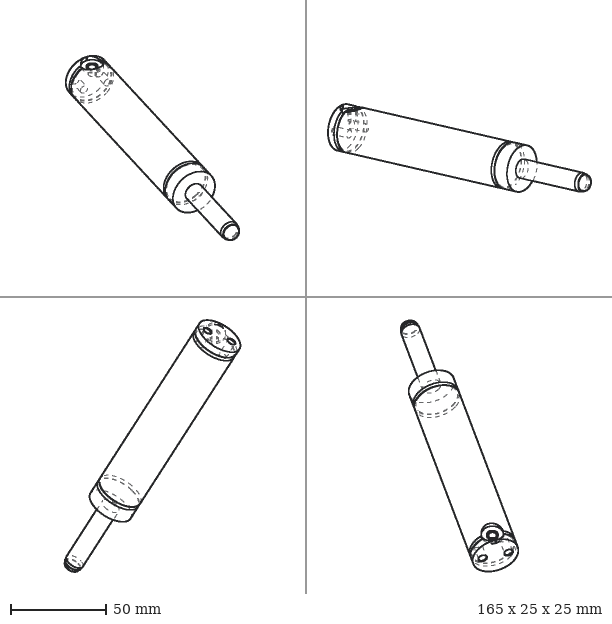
import cadquery as cq
import math

total_length = 165.0
body_radius = 12.5
body_end = 121.0
rod_radius = 5.1

groove_radius = 1.0
rear_groove_x = 5.1
front_groove_x = 111.4

tip_groove_start = 160.7
tip_groove_end = 162.7
tip_groove_floor_radius = 4.3
tip_groove_end_radius = 4.8
tip_radius = 4.3
tip_round = 1.5

port_x = 6.0
port_slit_width = 0.5
port_seat_radius = math.hypot(port_x, port_slit_width / 2)
port_seat_height = 10.0
port_counterbore_radius = 3.0
port_counterbore_depth = 0.5
port_bore_radius = 2.1
port_depth = 5.0

mount_offset = 7.1
mount_radius = 2.1
mount_chamfer = 0.3
mount_depth = 9.9
drill_half_angle = math.radians(59)


def turned_profile():
    """Solid of the body and rod, revolved about X."""
    round_start = total_length - tip_round
    diagonal = tip_round * math.sqrt(0.5)
    tip_groove_middle = (tip_groove_start + tip_groove_end) / 2
    profile = cq.Workplane("XY").lineTo(0, body_radius)
    for groove_x in (rear_groove_x, front_groove_x):
        profile = profile.lineTo(groove_x - groove_radius, body_radius).threePointArc(
            (groove_x, body_radius - groove_radius),
            (groove_x + groove_radius, body_radius),
        )
    return (
        profile.lineTo(body_end, body_radius)
        .lineTo(body_end, rod_radius)
        .lineTo(tip_groove_start, rod_radius)
        .threePointArc(
            (tip_groove_middle, tip_groove_floor_radius),
            (tip_groove_end, tip_groove_end_radius),
        )
        .lineTo(tip_groove_end, tip_radius)
        .lineTo(round_start, tip_radius)
        .threePointArc(
            (round_start + diagonal, tip_radius - tip_round + diagonal),
            (total_length, tip_radius - tip_round),
        )
        .lineTo(total_length, 0)
        .close()
        .revolve(360, (0, 0, 0), (1, 0, 0))
    )


def port_cutter():
    """Flat round seat on top of the body with a counterbored blind hole."""
    seat = cq.Workplane("XY", origin=(port_x, 0, port_seat_height))
    cutter = seat.circle(port_seat_radius).extrude(body_radius)
    counterbore = seat.circle(port_counterbore_radius).extrude(-port_counterbore_depth)
    bore = seat.circle(port_bore_radius).extrude(-port_depth)
    return cutter.union(counterbore).union(bore)


def mounting_hole(y):
    """Blind hole in the rear face with a chamfered mouth and a drill-point bottom."""
    point_length = mount_radius / math.tan(drill_half_angle)
    mouth = cq.Vector(0, y, 0)
    bottom = cq.Vector(mount_depth, y, 0)
    axis = cq.Vector(1, 0, 0)
    bore = cq.Solid.makeCylinder(mount_radius, mount_depth, mouth, axis)
    point = cq.Solid.makeCone(mount_radius, 0, point_length, bottom, axis)
    countersink = cq.Solid.makeCone(
        mount_radius + mount_chamfer, mount_radius, mount_chamfer, mouth, axis
    )
    return bore.fuse(point, countersink)


result = turned_profile().cut(port_cutter())
for side in (-1, 1):
    result = result.cut(mounting_hole(side * mount_offset))